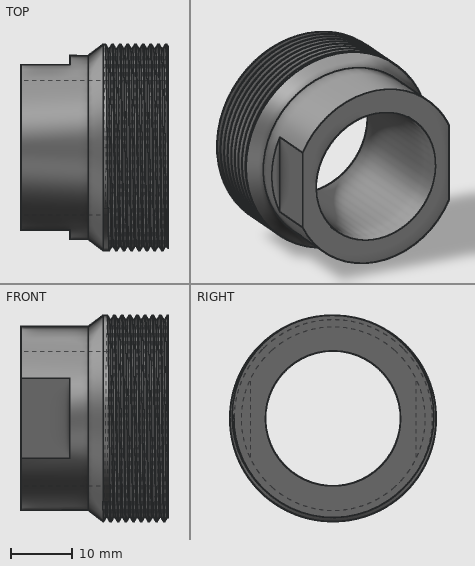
import cadquery as cq
import math

total_length = 24.0
bore_radius = 11.0
neck_radius = 15.0
neck_length = 11.0
thread_radius = 16.85
thread_land_start = 13.45

flat_spacing = 27.0
flat_length = 8.0

pitch = 1.25
flank_angle = math.radians(30)
sharp_height = pitch / (2 * math.tan(flank_angle))
thread_depth = 5 / 8 * sharp_height
root_width = pitch / 4
root_radius = thread_radius - thread_depth
thread_turns = 8.1
overrun_turns = 1.0
groove_clearance = 0.05


def make_body():
    """Revolve the bored neck, shoulder cone and thread blank as one profile."""
    return (
        cq.Workplane("XZ")
        .moveTo(0, bore_radius)
        .lineTo(0, neck_radius)
        .lineTo(neck_length, neck_radius)
        .lineTo(thread_land_start, thread_radius)
        .lineTo(total_length, thread_radius)
        .lineTo(total_length, bore_radius)
        .close()
        .revolve(360, (0, 0, 0), (1, 0, 0))
    )


def make_flat_cutter(side):
    """Block that trims the neck to one wrench flat; side is +1 or -1 along Y."""
    return (
        cq.Workplane("XY")
        .box(flat_length, neck_radius, 2 * neck_radius, centered=(False, True, True))
        .translate((0, side * (flat_spacing + neck_radius) / 2, 0))
    )


def make_thread_cutter():
    """Groove solid ruled between the four helices of its corners, laid along X."""
    helix_length = (thread_turns + overrun_turns) * pitch
    cutter_height = thread_depth + groove_clearance
    half_root = root_width / 2
    half_top = half_root + cutter_height * math.tan(flank_angle)
    outer_radius = root_radius + cutter_height
    corners = [
        (root_radius, -half_root),
        (outer_radius, -half_top),
        (outer_radius, half_top),
        (root_radius, half_root),
    ]
    helices = []
    for radius, offset in corners:
        wire = cq.Wire.makeHelix(pitch, helix_length, radius, center=cq.Vector(0, 0, offset))
        helices.append(wire.Edges()[0])
    faces = []
    for index, helix in enumerate(helices):
        next_helix = helices[(index + 1) % len(helices)]
        faces.append(cq.Face.makeRuledSurface(helix, next_helix))
    for end in (0, 1):
        end_points = [helix.positionAt(end) for helix in helices]
        faces.append(cq.Face.makeFromWires(cq.Wire.makePolygon(end_points, close=True)))
    groove = cq.Workplane(obj=cq.Solid.makeSolid(cq.Shell.makeShell(faces)))

    start_spin = -360 * (thread_turns % 1)
    run_out = total_length - thread_turns * pitch
    return (
        groove.rotate((0, 0, 0), (0, 1, 0), 90)
        .rotate((0, 0, 0), (1, 0, 0), start_spin)
        .translate((run_out, 0, 0))
    )


part = make_body().cut(make_thread_cutter())
for side in (-1, 1):
    part = part.cut(make_flat_cutter(side))
result = cq.Workplane(obj=part.solids().val())